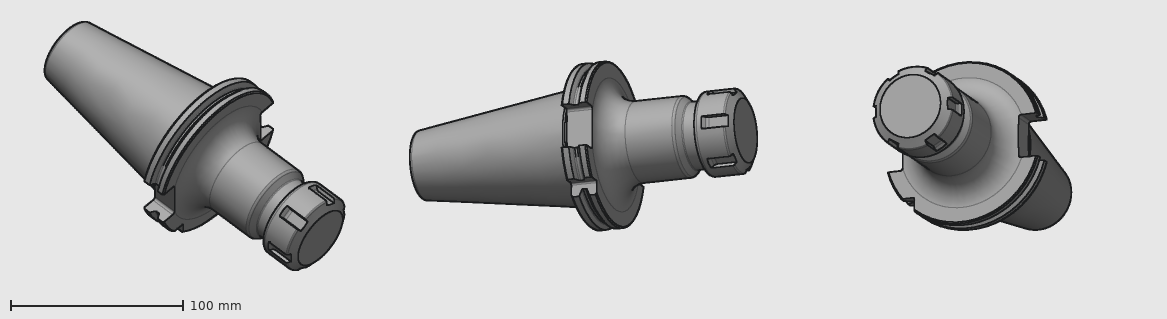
import cadquery as cq
import math

total_length = 201.5
flange_start = 104.8
flange_width = 15.7
flange_end = flange_start + flange_width
nut_start = 178.5

taper_rate = 7 / 48
taper_length = 101.2
taper_radius = 35.0
shank_end_radius = taper_radius - taper_rate * taper_length
shank_end_fillet = 2.0
relief_depth = 0.5
relief_slope = 1.2

flange_diameter = 97.4
flange_radius = flange_diameter / 2
flange_chamfer = 0.8
groove_center = 112.9
groove_depth = 3.2
groove_half_mouth = 3.2
groove_half_floor = 1.5
groove_floor_fillet = 1.0
slot_width = 25.8
slot_fillet = 1.6
near_slot_floor = 37.3
far_slot_floor = 35.3
slot_overrun = 1.6
notch_offset = 30.0
notch_fillet = 1.0

body_radius = 24.0
flange_blend_radius = 15.1
neck_radius = 20.0
shoulder_end = 169.7
shoulder_length = body_radius - neck_radius
shoulder_fillet = 2.5
neck_fillet = 1.0

bore_mouth_radius = 14.3
bore_mouth_chamfer = 0.6
pilot_radius = 12.5
pilot_start = 2.2
pilot_end = 7.7
thread_radius = 11.9
thread_end = 10.5
seat_radius = 11.3
seat_start = 10.9
drill_radius = 10.0
drill_start = 13.0
drill_end = 40.3
drill_tip_angle = 118

nut_radius = 25.0
nut_rear_fillet = 2.0
nut_chamfer_length = 3.8
nut_face_radius = 19.0
nut_front_fillet = 1.2
nut_slot_count = 6
nut_slot_start = 183.5
nut_slot_floor = 22.4
nut_slot_mouth_width = 7.7
nut_slot_floor_width = 6.7
nut_slot_ramp_fillet = 2.6

overcut = 2.0


def revolve_about_x(profile):
    return profile.close().revolve(360, (0, 0, 0), (1, 0, 0))


def ring_at(x):
    """Selector for the circular edges that lie in the plane at the given X."""
    reach = flange_radius + overcut
    slack = 0.1
    return cq.selectors.BoxSelector(
        (x - slack, -reach, -reach), (x + slack, reach, reach), boundingbox=True
    )


def make_blank():
    """Shank, flange, body and neck as one turned solid."""
    relief_radius = taper_radius - relief_depth
    blend_top = body_radius + flange_blend_radius
    blend_end = flange_end + flange_blend_radius
    diagonal = flange_blend_radius * math.sqrt(0.5)
    profile = (
        cq.Workplane("XY")
        .lineTo(0, shank_end_radius)
        .lineTo(taper_length, taper_radius)
        .lineTo(taper_length + relief_slope, relief_radius)
        .lineTo(flange_start - relief_slope, relief_radius)
        .lineTo(flange_start, taper_radius)
        .lineTo(flange_start, flange_radius - flange_chamfer)
        .lineTo(flange_start + flange_chamfer, flange_radius)
        .lineTo(flange_end - flange_chamfer, flange_radius)
        .lineTo(flange_end, flange_radius - flange_chamfer)
        .lineTo(flange_end, blend_top)
        .threePointArc((blend_end - diagonal, blend_top - diagonal), (blend_end, body_radius))
        .lineTo(shoulder_end - shoulder_length, body_radius)
        .lineTo(shoulder_end, neck_radius)
        .lineTo(nut_start, neck_radius)
        .lineTo(nut_start, 0)
    )
    blank = revolve_about_x(profile)
    blank = blank.edges(ring_at(shoulder_end - shoulder_length)).fillet(shoulder_fillet)
    blank = blank.edges(ring_at(shoulder_end)).fillet(neck_fillet)
    return blank.edges(ring_at(0)).fillet(shank_end_fillet)


def make_groove():
    """V-groove ring around the flange, with rounded floor corners."""
    floor_radius = flange_radius - groove_depth
    flare = (groove_half_mouth - groove_half_floor) / groove_depth
    half_outer = groove_half_mouth + flare * overcut
    profile = (
        cq.Workplane("XY")
        .moveTo(groove_center - half_outer, flange_radius + overcut)
        .lineTo(groove_center - groove_half_floor, floor_radius)
        .lineTo(groove_center + groove_half_floor, floor_radius)
        .lineTo(groove_center + half_outer, flange_radius + overcut)
    )
    ring = revolve_about_x(profile)
    floor_edges = cq.selectors.RadiusNthSelector(0)
    return ring.edges(floor_edges).fillet(groove_floor_fillet)


def make_drive_slot(side, floor_distance):
    """Keyway through the flange; side is +1 for +Y and -1 for -Y."""
    length = flange_width + 2 * slot_overrun
    depth = flange_radius + overcut - floor_distance
    return (
        cq.Workplane("XY")
        .box(length, depth, slot_width)
        .faces("<Y" if side > 0 else ">Y")
        .edges("|X")
        .fillet(slot_fillet)
        .translate((flange_start + flange_width / 2, side * (floor_distance + depth / 2), 0))
    )


def make_corner_notch():
    """Square orientation notch at the -Y, -Z quarter of the flange."""
    size = flange_radius - notch_offset
    middle = notch_offset + size / 2
    return (
        cq.Workplane("XY")
        .box(flange_width, size, size)
        .edges("|X and >Y and >Z")
        .fillet(notch_fillet)
        .translate((flange_start + flange_width / 2, -middle, -middle))
    )


def make_bore():
    """Stepped draw-bar bore ending in a drill point."""
    tip_length = drill_radius / math.tan(math.radians(drill_tip_angle / 2))
    profile = (
        cq.Workplane("XY")
        .lineTo(0, bore_mouth_radius)
        .lineTo(bore_mouth_chamfer, bore_mouth_radius - bore_mouth_chamfer)
        .lineTo(pilot_start, pilot_radius)
        .lineTo(pilot_end, pilot_radius)
        .lineTo(pilot_end, thread_radius)
        .lineTo(thread_end, thread_radius)
        .lineTo(seat_start, seat_radius)
        .lineTo(drill_start, drill_radius)
        .lineTo(drill_end, drill_radius)
        .lineTo(drill_end + tip_length, 0)
    )
    return revolve_about_x(profile)


def make_holder():
    return (
        make_blank()
        .cut(make_groove())
        .cut(make_drive_slot(-1, near_slot_floor))
        .cut(make_drive_slot(1, far_slot_floor))
        .cut(make_corner_notch())
        .cut(make_bore())
    )


def make_wrench_slot():
    """Cutter for one wrench slot on the +Y side: tapered walls and a 45-degree run-out."""
    top = nut_radius + overcut
    run_out = (
        cq.Workplane("XY")
        .moveTo(nut_slot_start - overcut, top)
        .lineTo(nut_slot_start + nut_radius - nut_slot_floor, nut_slot_floor)
        .lineTo(total_length + overcut, nut_slot_floor)
        .lineTo(total_length + overcut, top)
        .close()
        .extrude(nut_slot_mouth_width, both=True)
        .edges("|Z")
        .edges("<Y")
        .edges("<X")
        .fillet(nut_slot_ramp_fillet)
    )
    flare = (nut_slot_mouth_width - nut_slot_floor_width) / (nut_radius - nut_slot_floor) / 2
    half_floor = nut_slot_floor_width / 2
    half_top = half_floor + flare * (top - nut_slot_floor)
    walls = (
        cq.Workplane("YZ", origin=(nut_slot_start - overcut, 0, 0))
        .polyline([
            (nut_slot_floor, -half_floor),
            (top, -half_top),
            (top, half_top),
            (nut_slot_floor, half_floor),
        ])
        .close()
        .extrude(total_length + 2 * overcut - nut_slot_start)
    )
    return run_out.intersect(walls)


def make_nut():
    profile = (
        cq.Workplane("XY")
        .moveTo(nut_start, 0)
        .lineTo(nut_start, nut_radius)
        .lineTo(total_length - nut_chamfer_length, nut_radius)
        .lineTo(total_length, nut_face_radius)
        .lineTo(total_length, 0)
    )
    nut = revolve_about_x(profile)
    nut = nut.edges(ring_at(nut_start)).fillet(nut_rear_fillet)
    nut = nut.edges(ring_at(total_length - nut_chamfer_length)).fillet(nut_front_fillet)
    for index in range(nut_slot_count):
        angle = index * 360 / nut_slot_count
        nut = nut.cut(make_wrench_slot().rotate((0, 0, 0), (1, 0, 0), angle))
    return nut


holder = make_holder()
nut = make_nut()

result = cq.Compound.makeCompound([holder.val(), nut.val()])